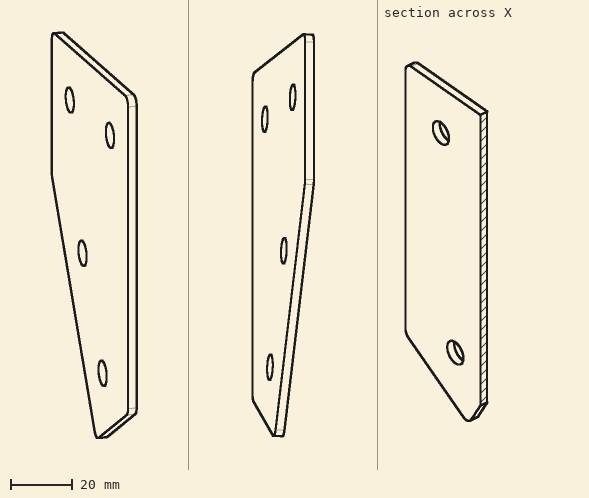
import cadquery as cq
import math

width = 76.0
height = 124.2
thickness = 3.0
corner_radius = 3.0
hole_diameter = 8.2
hole_pitch = 40.0
edge_margin = (width - hole_pitch) / 2
arm_angle = math.radians(60)
lowest_hole_x = 50.7

arm_x = math.cos(arm_angle)
arm_z = math.sin(arm_angle)

tip_offset = edge_margin - corner_radius
lowest_hole_z = corner_radius + tip_offset * (arm_z + arm_x)

upper_hole_z = height - edge_margin
holes = [
    (edge_margin, upper_hole_z),
    (edge_margin + hole_pitch, upper_hole_z),
    (lowest_hole_x - hole_pitch * arm_x, lowest_hole_z + hole_pitch * arm_z),
    (lowest_hole_x, lowest_hole_z),
]

tip_x = lowest_hole_x + edge_margin * (arm_x - arm_z)
tip_z = lowest_hole_z - edge_margin * (arm_z + arm_x)
left_corner_z = tip_z + tip_x * math.tan(arm_angle)
right_corner_z = tip_z + (width - tip_x) / math.tan(arm_angle)
outline = [
    (0, height),
    (width, height),
    (width, right_corner_z),
    (tip_x, tip_z),
    (0, left_corner_z),
]

plate = (
    cq.Workplane("XZ")
    .polyline(outline)
    .close()
    .extrude(thickness)
    .edges("|Y")
    .fillet(corner_radius)
)

hole_cutter = (
    cq.Workplane("XZ")
    .pushPoints(holes)
    .circle(hole_diameter / 2)
    .extrude(thickness)
)

result = plate.cut(hole_cutter)